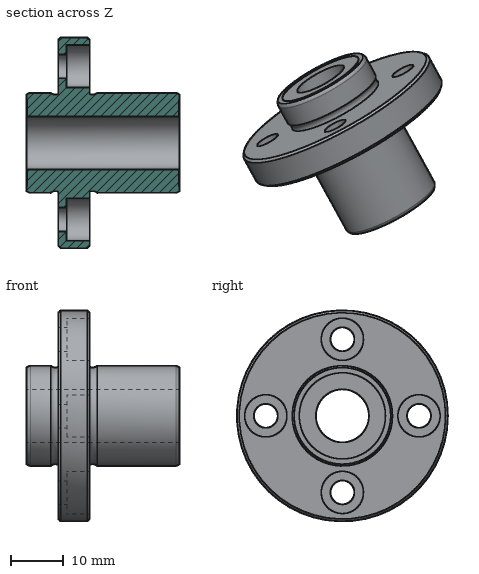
import cadquery as cq

length = 29.0
body_radius = 19.0 / 2
bore_diameter = 10.0

flange_start = 6.0
flange_thickness = 6.0
flange_end = flange_start + flange_thickness
flange_radius = 20.0
flange_chamfer = 0.5

end_round_length = 0.7
end_round_depth = 0.35
end_round_radius = 1.6
end_face_radius = body_radius - end_round_depth

seal_diameter = 16.3
seal_recess_depth = 0.1

groove_width = 1.4
groove_depth = 0.3
groove_low_offset = 0.5
groove_half_chord = groove_width - groove_low_offset
groove_arc_radius = (groove_half_chord**2 + groove_depth**2) / (2 * groove_depth)
groove_floor_radius = body_radius - groove_depth
groove_centre_radius = groove_floor_radius + groove_arc_radius
groove_flange_radius = groove_centre_radius - (groove_arc_radius**2 - groove_low_offset**2) ** 0.5

hole_count = 4
hole_circle_radius = 29.0 / 2
hole_diameter = 4.5
counterbore_diameter = 8.0
counterbore_depth = 4.4


def make_body():
    """Revolve the half profile, drawn as (X, radius), about the X axis."""
    return (
        cq.Workplane("XY")
        .moveTo(0, 0)
        .lineTo(0, end_face_radius)
        .radiusArc((end_round_length, body_radius), end_round_radius)
        .lineTo(flange_start - groove_width, body_radius)
        .threePointArc(
            (flange_start - groove_low_offset, groove_floor_radius),
            (flange_start, groove_flange_radius),
        )
        .lineTo(flange_start, flange_radius - flange_chamfer)
        .lineTo(flange_start + flange_chamfer, flange_radius)
        .lineTo(flange_end - flange_chamfer, flange_radius)
        .lineTo(flange_end, flange_radius - flange_chamfer)
        .lineTo(flange_end, groove_flange_radius)
        .threePointArc(
            (flange_end + groove_low_offset, groove_floor_radius),
            (flange_end + groove_width, body_radius),
        )
        .lineTo(length - end_round_length, body_radius)
        .radiusArc((length, end_face_radius), end_round_radius)
        .lineTo(length, 0)
        .close()
        .revolve(360, (0, 0, 0), (1, 0, 0))
    )


def cut_bore(part):
    bore = cq.Workplane("YZ").circle(bore_diameter / 2).extrude(length)
    return part.cut(bore)


def cut_seal_recesses(part):
    for x in (0, length - seal_recess_depth):
        plane = cq.Workplane("YZ", origin=(x, 0, 0))
        part = part.cut(plane.circle(seal_diameter / 2).extrude(seal_recess_depth))
    return part


def cut_screw_holes(part):
    """Cut the holes through the flange, counterbored from its +X face."""

    def hole_circle(x):
        plane = cq.Workplane("YZ", origin=(x, 0, 0))
        return plane.polarArray(hole_circle_radius, 0, 360, hole_count)

    holes = hole_circle(flange_start).circle(hole_diameter / 2).extrude(flange_thickness)
    counterbores = (
        hole_circle(flange_end - counterbore_depth)
        .circle(counterbore_diameter / 2)
        .extrude(counterbore_depth)
    )
    return part.cut(holes).cut(counterbores)


result = make_body()
result = cut_bore(result)
result = cut_seal_recesses(result)
result = cut_screw_holes(result)